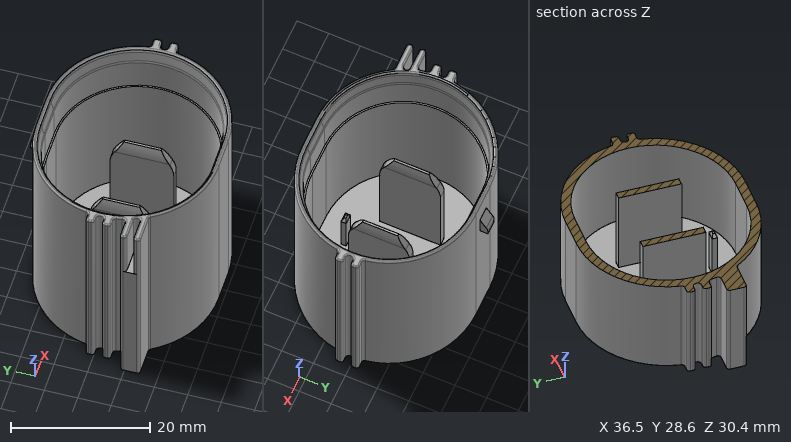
import cadquery as cq
import math


height = 30.4
outer_radius = 13.65
center_offset = 2.4
rim_fillet = 0.25

rim_flat_end = 0.4
mouth_wall = rim_flat_end + rim_fillet
lead_in_wall = 0.8
lead_in_depth = 0.6
taper_wall = 1.15
taper_depth = 2.05
upper_wall = 1.28
upper_wall_depth = 2.4
ledge_depth = 7.52
lower_wall = 1.55
floor_thickness = 1.82

rib_tip_x = 17.52
rib_outer_y = 1.85
groove_radius = 0.6
groove_bottom_x = 16.0
rib_tip_fillet = 0.45
root_fillet = 0.47

key_tip_x = -18.98
key_center_y = -5.2
key_width = 3.0
key_tip_fillet = 0.47
key_slot_radius = 0.5
key_slot_end_x = -14.9
key_slot_depth = 7.85

latch_width = 2.23
latch_tip_y = 14.9
latch_top_depth = 4.3
latch_tip_depth = 6.28
latch_bottom_depth = 7.45
latch_fillet = 1.45

blade_x = 5.48
blade_half_width = 0.62
blade_tip_half_width = 0.2
blade_half_length = 4.78
blade_tip_half_length = 2.77
blade_tip_z = 20.85
blade_end_angle = 30.0
blade_end_fillet = 4.38
blade_side_depth = 2.2

pin_x = 0.05
pin_y = -7.92
pin_length = 1.55
pin_width = 0.8
pin_height = 7.3
pin_taper_height = 0.55
pin_tip_length = 0.6
pin_tip_width = 0.3

cut_overrun = 0.35
match_tolerance = 0.005


def box(x_min, x_max, y_min, y_max, z_min, z_max):
    size = (x_max - x_min, y_max - y_min, z_max - z_min)
    return cq.Workplane("XY").box(*size, centered=False).translate((x_min, y_min, z_min))


def round_ended_slot(end_x, open_x, center_y, radius, z_min):
    """Cutter open at open_x, with a half-round end touching end_x."""
    toward_opening = math.copysign(1, open_x - end_x)
    axis_x = end_x + toward_opening * radius
    x_min, x_max = sorted((axis_x, open_x))
    straight = box(x_min, x_max, center_y - radius, center_y + radius, z_min, height)
    end = cq.Workplane("XY", origin=(axis_x, center_y, z_min)).circle(radius).extrude(height - z_min)
    return straight.union(end)


def fillet_upright(solid, radius, keep):
    """Round the upright edges that pass the keep test."""
    edges = [edge for edge in solid.edges("|Z").vals() if keep(edge.Center())]
    return solid.newObject(edges).fillet(radius)


def oblong_from_profile(profile):
    """Turn a half profile (radius across, Z up) into an oblong solid."""
    middle = profile("YZ", -center_offset).extrude(2 * center_offset)
    solid = middle.union(middle.mirror("XZ"))
    for axis_x in (-center_offset, center_offset):
        solid = solid.union(profile("XZ", axis_x).revolve(360, (0, 0, 0), (0, 1, 0)))
    return solid


def shell_outside():
    straight_length = 2 * center_offset
    shell = (
        cq.Workplane("XY")
        .slot2D(straight_length + 2 * outer_radius, 2 * outer_radius)
        .extrude(height)
    )
    key_y_min = key_center_y - key_width / 2
    key_y_max = key_center_y + key_width / 2
    shell = shell.union(box(-rib_tip_x, rib_tip_x, -rib_outer_y, rib_outer_y, 0, height))
    shell = shell.union(box(key_tip_x, -center_offset, key_y_min, key_y_max, 0, height))

    shell = fillet_upright(
        shell, root_fillet, lambda point: center_offset < abs(point.x) < rib_tip_x - match_tolerance
    )

    for side in (-1, 1):
        shell = shell.cut(
            round_ended_slot(side * groove_bottom_x, side * (rib_tip_x + cut_overrun), 0, groove_radius, 0)
        )
    shell = shell.cut(
        round_ended_slot(
            key_slot_end_x, key_tip_x - cut_overrun, key_center_y, key_slot_radius, height - key_slot_depth
        )
    )

    shell = fillet_upright(
        shell, rib_tip_fillet, lambda point: abs(abs(point.x) - rib_tip_x) < match_tolerance
    )
    shell = fillet_upright(shell, key_tip_fillet, lambda point: abs(point.x - key_tip_x) < match_tolerance)
    return shell.faces(">Z").edges().fillet(rim_fillet)


def cavity_profile(plane, axis_x):
    fillet_mid = rim_fillet * (1 - math.sqrt(0.5))
    mouth_radius = outer_radius - mouth_wall
    return (
        cq.Workplane(plane, origin=(axis_x, 0, 0))
        .moveTo(0, height)
        .lineTo(outer_radius - rim_flat_end, height)
        .threePointArc(
            (mouth_radius + fillet_mid, height - fillet_mid), (mouth_radius, height - rim_fillet)
        )
        .lineTo(outer_radius - lead_in_wall, height - lead_in_depth)
        .lineTo(outer_radius - taper_wall, height - taper_depth)
        .lineTo(outer_radius - upper_wall, height - upper_wall_depth)
        .lineTo(outer_radius - upper_wall, height - ledge_depth)
        .lineTo(outer_radius - lower_wall, height - ledge_depth)
        .lineTo(outer_radius - lower_wall, floor_thickness)
        .lineTo(0, floor_thickness)
        .close()
    )


def latch():
    root_y = outer_radius - mouth_wall / 2
    slope = (latch_tip_depth - latch_top_depth) / (latch_tip_y - outer_radius)
    root_z = height - latch_top_depth + slope * (outer_radius - root_y)
    body = (
        cq.Workplane("YZ", origin=(-latch_width / 2, 0, 0))
        .moveTo(root_y, height - latch_bottom_depth)
        .lineTo(latch_tip_y, height - latch_bottom_depth)
        .lineTo(latch_tip_y, height - latch_tip_depth)
        .lineTo(root_y, root_z)
        .close()
        .extrude(latch_width)
    )
    return body.edges("|X").edges(">Y").edges(">Z").fillet(latch_fillet)


def blade(center_x):
    """Flat terminal whose ends slope in and whose sides round in toward the tip."""
    end_drop = (blade_half_length - blade_tip_half_length) / math.tan(math.radians(blade_end_angle))
    lengthwise = (
        cq.Workplane("YZ", origin=(-blade_half_width, 0, 0))
        .moveTo(-blade_half_length, 0)
        .lineTo(-blade_half_length, blade_tip_z - end_drop)
        .lineTo(-blade_tip_half_length, blade_tip_z)
        .lineTo(blade_tip_half_length, blade_tip_z)
        .lineTo(blade_half_length, blade_tip_z - end_drop)
        .lineTo(blade_half_length, 0)
        .close()
        .extrude(2 * blade_half_width)
    )
    shoulders = [
        edge for edge in lengthwise.edges("|X").vals()
        if abs(edge.Center().z - (blade_tip_z - end_drop)) < match_tolerance
    ]
    lengthwise = lengthwise.newObject(shoulders).fillet(blade_end_fillet)

    inset = blade_half_width - blade_tip_half_width
    side_radius = (blade_side_depth**2 + inset**2) / (2 * inset)
    side_z = blade_tip_z - blade_side_depth
    mid_angle = math.asin(blade_side_depth / side_radius) / 2
    mid_x = blade_half_width - side_radius * (1 - math.cos(mid_angle))
    mid_z = side_z + side_radius * math.sin(mid_angle)
    crosswise = (
        cq.Workplane("XZ", origin=(0, blade_half_length, 0))
        .moveTo(-blade_half_width, 0)
        .lineTo(-blade_half_width, side_z)
        .threePointArc((-mid_x, mid_z), (-blade_tip_half_width, blade_tip_z))
        .lineTo(blade_tip_half_width, blade_tip_z)
        .threePointArc((mid_x, mid_z), (blade_half_width, side_z))
        .lineTo(blade_half_width, 0)
        .close()
        .extrude(2 * blade_half_length)
    )
    return lengthwise.intersect(crosswise).translate((center_x, 0, 0))


def small_pin():
    shaft_top = floor_thickness + pin_height - pin_taper_height
    shaft = cq.Workplane("XY").rect(pin_length, pin_width).extrude(shaft_top)
    tip = (
        cq.Workplane("XY", origin=(0, 0, shaft_top))
        .rect(pin_length, pin_width)
        .workplane(offset=pin_taper_height)
        .rect(pin_tip_length, pin_tip_width)
        .loft()
    )
    return shaft.union(tip).translate((pin_x, pin_y, 0))


result = shell_outside().cut(oblong_from_profile(cavity_profile)).union(latch())
for side in (-1, 1):
    result = result.union(blade(side * blade_x))
result = result.union(small_pin())